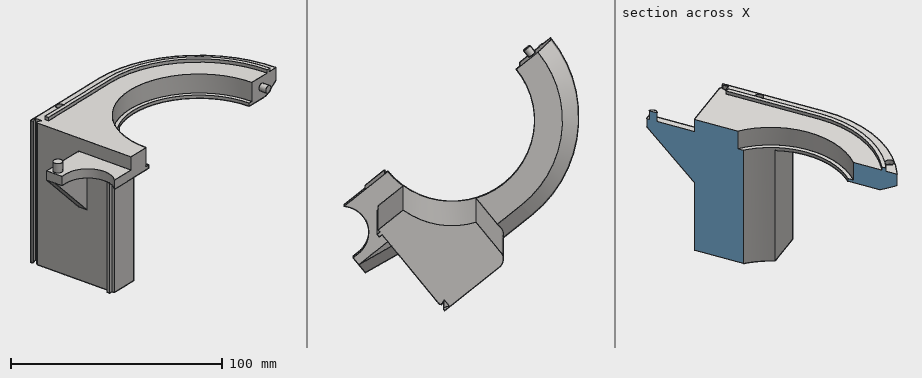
import cadquery as cq
import math


rail_height = 1.8
total_height = 78.0
deck_top = total_height - rail_height
arm_thickness = 12.0
arm_bottom = deck_top - arm_thickness

outer_radius = 60.0
lip_radius = 39.0
lip_width = 2.1
lip_height = 1.8
bore_radius = lip_radius + lip_width
front_y = -53.0
leg_back_y = -14.6
leg_right_x = -10.0
leg_corner_radius = 5.0

slope_inset = 7.7
slope_height = 5.1
slope_rounding = 1.5

rail_inset = 5.0
rail_width = 2.1
rail_front_y = front_y + rail_inset
hole_diameter = 4.3
hole_depth = 2.5
hole_path_radius = outer_radius - 2.5
arc_hole_angle = math.radians(127.4)
straight_hole_y = -33.0

end_pin_diameter = 4.0
end_pin_length = 4.0
end_pin_y = 48.7
end_pin_z = 70.5

groove_inner_left = 0.5
groove_inner_right = 4.3
groove_throat_left = 1.4
groove_throat_right = 3.2
groove_mouth_left = 1.0
groove_mouth_right = 4.1
groove_depth = 3.2
groove_throat_depth = 0.7

tongue_width = 1.7
tongue_depth = 1.8
tongue_right_inset = 1.4

bracket_left_x = -31.2
bracket_depth = 25.0
bracket_front_y = front_y - bracket_depth
bracket_thickness = 5.0
bracket_top = arm_bottom + bracket_thickness
rib_thickness = 5.0
recess_radius = 12.7
recess_x = -9.2
bracket_pin_diameter = 4.7
bracket_pin_height = 5.0
bracket_pin_x = bracket_left_x + 4.1
recess_y = bracket_front_y + 3.5


def box(x_min, x_max, y_min, y_max, z_min, z_max):
    size = (x_max - x_min, y_max - y_min, z_max - z_min)
    return cq.Workplane("XY").box(*size, centered=False).translate((x_min, y_min, z_min))


def cylinder(x, y, radius, z_min, z_max):
    return cq.Workplane("XY", origin=(x, y, z_min)).circle(radius).extrude(z_max - z_min)


def hooked_plate(radius, y_end, z_min, z_max):
    """Plate with a quarter-round back left corner and a straight left side."""
    diagonal = radius * math.sqrt(0.5)
    return (
        cq.Workplane("XY", origin=(0, 0, z_min))
        .moveTo(0, radius)
        .threePointArc((-diagonal, diagonal), (-radius, 0))
        .lineTo(-radius, y_end)
        .lineTo(0, y_end)
        .close()
        .extrude(z_max - z_min)
    )


def make_arm():
    """Plate with its lower outer edge sloped and softly rounded."""
    section = (
        cq.Sketch()
        .polygon([
            (0, arm_bottom),
            (-outer_radius + slope_inset, arm_bottom),
            (-outer_radius, arm_bottom + slope_height),
            (-outer_radius, deck_top),
            (0, deck_top),
            (0, arm_bottom),
        ])
        .vertices("<X")
        .vertices("<Y")
        .fillet(slope_rounding)
    )
    straight = cq.Workplane("XZ").placeSketch(section).extrude(-front_y)
    curved = cq.Workplane("XZ").placeSketch(section).revolve(90, (0, 0), (0, -1))
    return straight.union(curved)


def make_leg():
    leg = box(-outer_radius, leg_right_x, front_y, leg_back_y, 0, deck_top)
    leg = leg.edges("|Z and <X and >Y").fillet(leg_corner_radius)
    tongue_right_x = leg_right_x - tongue_right_inset
    tongue = box(
        tongue_right_x - tongue_width, tongue_right_x,
        front_y - tongue_depth, front_y,
        0, bracket_top,
    )
    return leg.union(tongue)


def make_rail():
    rail_radius = outer_radius - rail_inset
    outer = hooked_plate(rail_radius, rail_front_y, deck_top, total_height)
    inner = hooked_plate(rail_radius - rail_width, rail_front_y, deck_top, total_height)
    return outer.cut(inner)


def make_groove():
    left = -outer_radius
    throat_y = front_y + groove_throat_depth
    inner_y = front_y + groove_depth
    return (
        cq.Workplane("XY")
        .polyline([
            (left + groove_mouth_left, front_y),
            (left + groove_throat_left, throat_y),
            (left + groove_inner_left, inner_y),
            (left + groove_inner_right, inner_y),
            (left + groove_throat_right, throat_y),
            (left + groove_mouth_right, front_y),
        ])
        .close()
        .extrude(deck_top)
    )


def make_bracket():
    """Shelf with a round recess, a 45 degree rib below it and an upright pin."""
    shelf = box(bracket_left_x, 0, bracket_front_y, front_y, arm_bottom, bracket_top)
    rib = (
        cq.Workplane("YZ", origin=(bracket_left_x, 0, 0))
        .moveTo(bracket_front_y, arm_bottom)
        .lineTo(front_y, arm_bottom)
        .lineTo(front_y, arm_bottom - bracket_depth)
        .close()
        .extrude(rib_thickness)
    )
    recess = cylinder(recess_x, recess_y, recess_radius, arm_bottom, bracket_top).union(
        box(
            recess_x - recess_radius, recess_x + recess_radius,
            bracket_front_y, recess_y,
            arm_bottom, bracket_top,
        )
    )
    pin = cylinder(
        bracket_pin_x, recess_y, bracket_pin_diameter / 2,
        bracket_top, bracket_top + bracket_pin_height,
    )
    return shelf.cut(recess).union(rib).union(pin)


result = make_arm().union(make_leg())

lip_top = arm_bottom + lip_height
result = result.cut(cylinder(0, 0, lip_radius, 0, deck_top))
result = result.cut(cylinder(0, 0, bore_radius, lip_top, deck_top))

result = result.union(make_rail()).union(make_bracket()).cut(make_groove())

hole_centers = [
    (hole_path_radius * math.cos(arc_hole_angle), hole_path_radius * math.sin(arc_hole_angle)),
    (-hole_path_radius, straight_hole_y),
]
for hole_x, hole_y in hole_centers:
    hole = cylinder(hole_x, hole_y, hole_diameter / 2, deck_top - hole_depth, deck_top)
    result = result.cut(hole)

end_pin = (
    cq.Workplane("YZ")
    .center(end_pin_y, end_pin_z)
    .circle(end_pin_diameter / 2)
    .extrude(end_pin_length)
)
result = result.union(end_pin)